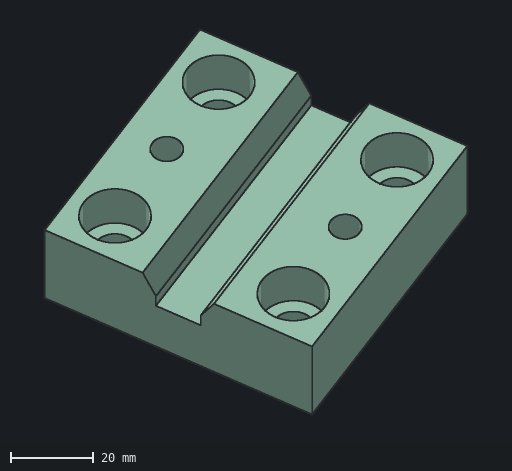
import cadquery as cq
import math

SIDE = 75.0
HEIGHT = 25.0

GROOVE_TOP_WIDTH = 20.0
GROOVE_FLOOR_WIDTH = 12.5
GROOVE_DEPTH = 10.0
FLARE_ANGLE = 60.0

HOLE_SPACING = 50.0
BOLT_DIAMETER = 10.5
COUNTERBORE_DIAMETER = 17.5
COUNTERBORE_DEPTH = HEIGHT / 2
PIN_DIAMETER = 8.0


def make_block():
    """Square block centred on the Z axis, standing on Z = 0."""
    return cq.Workplane("XY").box(SIDE, SIDE, HEIGHT, centered=(True, True, False))


def make_groove():
    """Solid to remove for the groove, running the full length in Y."""
    half_top = GROOVE_TOP_WIDTH / 2
    half_floor = GROOVE_FLOOR_WIDTH / 2
    flare_depth = (half_top - half_floor) * math.tan(math.radians(FLARE_ANGLE))
    flare_z = HEIGHT - flare_depth
    floor_z = HEIGHT - GROOVE_DEPTH
    outline = [
        (-half_top, HEIGHT),
        (-half_floor, flare_z),
        (-half_floor, floor_z),
        (half_floor, floor_z),
        (half_floor, flare_z),
        (half_top, HEIGHT),
    ]
    return cq.Workplane("XZ").polyline(outline).close().extrude(SIDE / 2, both=True)


def cut_bolt_holes(body):
    """Four counterbored through holes on a square pattern."""
    return (
        body.copyWorkplane(cq.Workplane("XY", origin=(0, 0, HEIGHT)))
        .rect(HOLE_SPACING, HOLE_SPACING, forConstruction=True)
        .vertices()
        .cboreHole(BOLT_DIAMETER, COUNTERBORE_DIAMETER, COUNTERBORE_DEPTH)
    )


def cut_pin_holes(body):
    """Two plain through holes, each midway between the bolt holes of its side."""
    return (
        body.copyWorkplane(cq.Workplane("XY", origin=(0, 0, HEIGHT)))
        .pushPoints([(-HOLE_SPACING / 2, 0), (HOLE_SPACING / 2, 0)])
        .hole(PIN_DIAMETER)
    )


grooved_block = make_block().cut(make_groove())
result = cut_pin_holes(cut_bolt_holes(grooved_block))